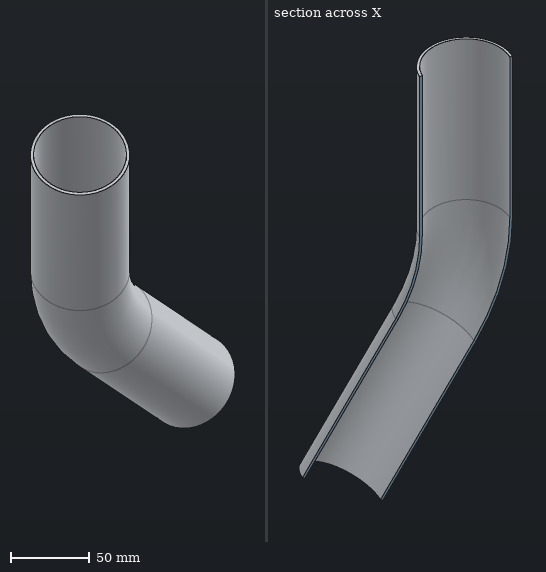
import cadquery as cq
import math

overall_height = 329.0
outer_diameter = 63.5
inner_diameter = 59.2
bend_radius = 152.5
bend_angle = 30.0

outer_radius = outer_diameter / 2
bend_sine = math.sin(math.radians(bend_angle))
bend_cosine = math.cos(math.radians(bend_angle))
leg_length = (overall_height - (bend_radius + outer_radius) * bend_sine) / (1 + bend_cosine)


def arc_point(angle):
    """Point (Y, Z) on the bend centreline, at an angle in degrees below its upper end."""
    turn = math.radians(angle)
    return (bend_radius * (1 - math.cos(turn)), -bend_radius * math.sin(turn))


bend_end = arc_point(bend_angle)
lower_end = (
    bend_end[0] + leg_length * bend_sine,
    bend_end[1] - leg_length * bend_cosine,
)
centreline = (
    cq.Workplane("YZ")
    .moveTo(0, leg_length)
    .lineTo(0, 0)
    .threePointArc(arc_point(bend_angle / 2), bend_end)
    .lineTo(*lower_end)
)

result = (
    cq.Workplane("XY")
    .workplane(offset=leg_length)
    .circle(outer_radius)
    .circle(inner_diameter / 2)
    .sweep(centreline)
)